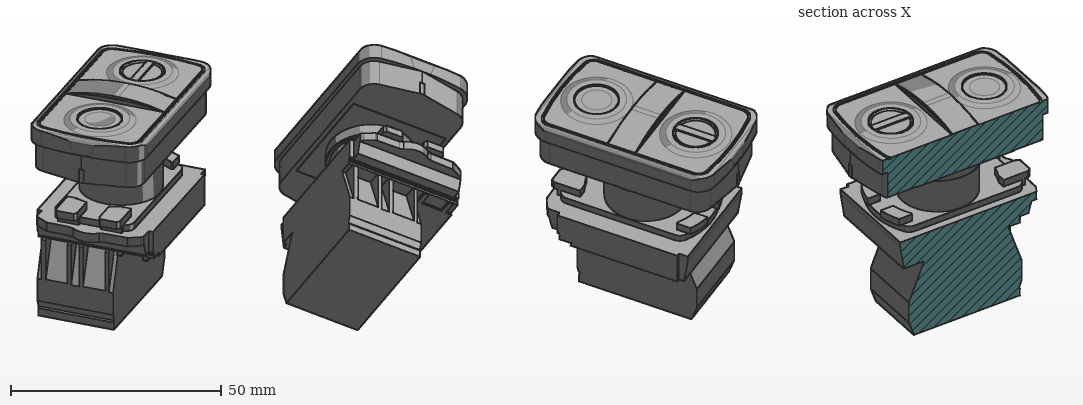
import cadquery as cq
import math


Z_BASE_BOTTOM = 20.4
Z_RIB_TOP = 21.2
Z_GROOVE = 22.2
Z_SKIRT_BOTTOM = 23.0
Z_LIP_BOTTOM = 26.2
Z_BASE_TOP = 28.55
Z_PLATE_TOP = 30.25
Z_TAB_TOP = 32.2
Z_COLLAR_BOTTOM = 39.65
Z_BODY_BOTTOM = 42.87
Z_CAP_BOTTOM = 50.15
Z_CAP_TOP = 54.3
Z_TOP = 56.01

BASE_WIDTH = 29.8
BLOCK_WIDTH = 19.5
FRONT_Y = -16.05
BLOCK_REAR_Y = 16.0
BLOCK_REAR_FOOT_Y = 14.5
BLOCK_REAR_NECK_Y = 11.75
REAR_WALL_Z = (4.25, 10.1)
FOOT_TOP = 1.95
FOOT_NOTCH_Z = 2.4
FRONT_WALL_Z = 4.2
GROOVE_HALF_HEIGHT = 0.25
RECESSED_FRONT_Y = -15.6
GROOVE_Y = -15.35
FLAP_INNER_Y = 16.05
FLAP_HALF_WIDTH = 14.0
FLAP_REAR_Y = 18.45
FLAP_FOOT_Y = 17.4
FLAP_SLOPE_TOP = 27.2
RIB_CHAMFER = 0.45
WEDGE_INNER_Y = -12.3
NARROW_WEDGE_BOTTOM = 10.1
WIDE_WEDGE_BOTTOM = 10.3
WEDGES = [
    (0.0, 0.97, NARROW_WEDGE_BOTTOM),
    (2.2, 5.55, WIDE_WEDGE_BOTTOM),
    (8.75, 2.0, NARROW_WEDGE_BOTTOM),
    (11.8, 5.75, WIDE_WEDGE_BOTTOM),
    (18.43, 2.07, NARROW_WEDGE_BOTTOM),
    (21.65, 5.5, WIDE_WEDGE_BOTTOM),
    (28.3, 1.5, NARROW_WEDGE_BOTTOM),
]

SKIRT_HALF_WIDTH = 13.8
SKIRT_FRONT_Y = -18.9
SKIRT_FOOT_Y = -18.0
LIP_FRONT_Y = -22.75
LIP_LEFT_SIDE = [
    (-SKIRT_HALF_WIDTH, FRONT_Y),
    (-SKIRT_HALF_WIDTH, -19.0),
    (-13.2, -19.6),
    (-10.8, -21.0),
    (-10.4, -21.15),
    (-4.4, -21.3),
    (-3.3, -21.6),
]

PLATE_HALF_WIDTH = 10.15
PLATE_FRONT_Y = -19.5
PLATE_REAR_RADIUS = 17.6
PLATE_SHOULDER_Y = -18.6
PLATE_CORNER_RADIUS = 2.6
TAB_INNER_X = 2.87
TAB_OUTER_X = 8.25
TAB_INNER_RADIUS = 14.7
FRONT_TAB_Y = (-21.2, -13.4)
REAR_TAB_Y = (12.5, 18.0)
REAR_TAB_RADIUS = 18.2
TAB_CHAMFER = (0.55, 0.9)

TUBE_DIAMETER = 20.0
COLLAR_DIAMETER = 21.7
COLLAR_CHAMFER = 0.2
GASKET_SIZE = (25.2, 27.5)
GASKET_THICKNESS = 0.15

HEAD_HALF_LENGTH = 49.43 / 2
CAP_HALF_WIDTH = 14.7
CAP_CORNER_RADIUS = 4.6
CAP_EDGE_RADIUS = 0.95
END_RADIUS = 68.0
END_FACET_FOOT_DEPTH = 0.035
END_FACET_TOP_DEPTH = 0.085
BODY_HALF_WIDTH = 13.8
BODY_SIDE_Y = 22.05
BODY_CORNER_RADIUS = 3.9
KEY_HALF_WIDTH = 0.6
KEY_TOP = 46.4
GROOVE_OUTER = (13.3, 23.05, 2.9)
GROOVE_INNER = (12.7, 22.55, 2.4)
TRIM_GROOVE_DEPTH = 0.3

BAR_HALF_LENGTH = 12.7
BAR_FOOT_HALF_WIDTH = 3.83
BAR_TOP_HALF_WIDTH = 3.65
BAR_SHOULDER_Z = 55.4
BAR_CREST_HALF_WIDTH = 0.75

BUTTON_Y = 13.25
BUTTON_OUTER_RADIUS = 8.6
BUTTON_RIM_RADIUS = 7.1
BUTTON_HEIGHT = 0.45
RING_OUTER_RADIUS = 5.4
RING_INNER_RADIUS = 5.2
RING_DEPTH = 0.4
MARK_WIDTH = 1.95
MARK_DISH_RADIUS = 4.7
MARK_DISH_DEPTH = 0.35
DISH_RADIUS = 3.6
DISH_DEPTH = 0.2
SUNK_FACE_DEPTH = 0.2


def box(x_range, y_range, z_range):
    """Box between the given limits."""
    (x0, x1), (y0, y1), (z0, z1) = x_range, y_range, z_range
    return cq.Workplane("XY").box(x1 - x0, y1 - y0, z1 - z0, centered=False).translate((x0, y0, z0))


def cylinder(radius, bottom, top):
    """Upright cylinder on the collar axis."""
    return cq.Workplane("XY").workplane(offset=bottom).circle(radius).extrude(top - bottom)


def side_profile(points, x_start, x_end):
    """Extrude a (Y, Z) polygon along X."""
    return cq.Workplane("YZ").workplane(offset=x_start).polyline(points).close().extrude(x_end - x_start)


def make_block():
    """Contact block and mounting base share one profile; the base is wider than the block."""
    left = -BASE_WIDTH / 2
    right = BASE_WIDTH / 2
    profile = [
        (RECESSED_FRONT_Y, 0),
        (RECESSED_FRONT_Y, FOOT_TOP),
        (GROOVE_Y, FOOT_NOTCH_Z),
        (FRONT_Y, FRONT_WALL_Z),
        (FRONT_Y, Z_RIB_TOP - RIB_CHAMFER),
        (FRONT_Y + RIB_CHAMFER, Z_RIB_TOP),
        (RECESSED_FRONT_Y, Z_GROOVE - GROOVE_HALF_HEIGHT),
        (GROOVE_Y, Z_GROOVE),
        (RECESSED_FRONT_Y, Z_GROOVE + GROOVE_HALF_HEIGHT),
        (RECESSED_FRONT_Y, Z_SKIRT_BOTTOM),
        (FRONT_Y, Z_SKIRT_BOTTOM),
        (FRONT_Y, Z_BASE_TOP),
        (FLAP_INNER_Y, Z_BASE_TOP),
        (FLAP_INNER_Y, Z_BASE_BOTTOM),
        (BLOCK_REAR_NECK_Y, Z_BASE_BOTTOM),
        (BLOCK_REAR_Y, REAR_WALL_Z[1]),
        (BLOCK_REAR_Y, REAR_WALL_Z[0]),
        (BLOCK_REAR_FOOT_Y, 0),
    ]
    block = side_profile(profile, left, right)
    beside_block = box((left + BLOCK_WIDTH, right), (FRONT_Y, BLOCK_REAR_Y), (0, Z_BASE_BOTTOM))
    block = block.cut(beside_block)
    flap = [
        (FLAP_INNER_Y, Z_BASE_BOTTOM),
        (FLAP_FOOT_Y, Z_BASE_BOTTOM),
        (FLAP_REAR_Y, FLAP_SLOPE_TOP),
        (FLAP_REAR_Y, Z_BASE_TOP),
        (FLAP_INNER_Y, Z_BASE_TOP),
    ]
    block = block.union(side_profile(flap, -FLAP_HALF_WIDTH, FLAP_HALF_WIDTH))
    for start, width, lowest in WEDGES:
        wedge = [(FRONT_Y, lowest), (FRONT_Y, Z_RIB_TOP), (WEDGE_INNER_Y, Z_RIB_TOP)]
        block = block.cut(side_profile(wedge, left + start, left + start + width))
    return block


def make_front_lip():
    """Skirt with a sloping foot, under a lip with a rounded nose."""
    skirt = [
        (FRONT_Y, Z_SKIRT_BOTTOM),
        (SKIRT_FOOT_Y, Z_SKIRT_BOTTOM),
        (SKIRT_FRONT_Y, Z_LIP_BOTTOM),
        (FRONT_Y, Z_LIP_BOTTOM),
    ]
    right_side = [(-x, y) for x, y in reversed(LIP_LEFT_SIDE)]
    lip = (
        cq.Workplane("XY")
        .workplane(offset=Z_LIP_BOTTOM)
        .polyline(LIP_LEFT_SIDE)
        .threePointArc((0, LIP_FRONT_Y), right_side[0])
        .polyline(right_side[1:], includeCurrent=True)
        .close()
        .extrude(Z_BASE_TOP - Z_LIP_BOTTOM)
    )
    return lip.union(side_profile(skirt, -SKIRT_HALF_WIDTH, SKIRT_HALF_WIDTH))


def make_plate():
    """Raised plate with a round rear end and two pads that carry the front tabs."""
    rear_y = math.sqrt(PLATE_REAR_RADIUS**2 - PLATE_HALF_WIDTH**2)
    plate = (
        cq.Workplane("XY")
        .workplane(offset=Z_BASE_TOP)
        .moveTo(-PLATE_HALF_WIDTH, PLATE_SHOULDER_Y)
        .lineTo(PLATE_HALF_WIDTH, PLATE_SHOULDER_Y)
        .lineTo(PLATE_HALF_WIDTH, rear_y)
        .threePointArc((0, PLATE_REAR_RADIUS), (-PLATE_HALF_WIDTH, rear_y))
        .close()
        .extrude(Z_PLATE_TOP - Z_BASE_TOP)
        .edges("|Z")
        .fillet(PLATE_CORNER_RADIUS)
    )
    pad = box((TAB_INNER_X, TAB_OUTER_X), (PLATE_FRONT_Y, FRONT_Y), (Z_BASE_TOP, Z_PLATE_TOP))
    return plate.union(pad).union(pad.mirror("YZ"))


def make_tabs():
    """Four tabs on the plate, their inner ends hollowed around the collar."""
    levels = (Z_PLATE_TOP, Z_TAB_TOP)
    span = (TAB_INNER_X, TAB_OUTER_X)
    front_y, back_y = FRONT_TAB_Y
    chamfer_x, chamfer_y = TAB_CHAMFER
    front = (
        cq.Workplane("XY")
        .workplane(offset=Z_PLATE_TOP)
        .moveTo(TAB_INNER_X, back_y)
        .lineTo(TAB_INNER_X, front_y + chamfer_y)
        .lineTo(TAB_INNER_X + chamfer_x, front_y)
        .lineTo(TAB_OUTER_X - chamfer_x, front_y)
        .lineTo(TAB_OUTER_X, front_y + chamfer_y)
        .lineTo(TAB_OUTER_X, back_y)
        .close()
        .extrude(Z_TAB_TOP - Z_PLATE_TOP)
    )
    rear = box(span, REAR_TAB_Y, levels).intersect(cylinder(REAR_TAB_RADIUS, *levels))
    pair = front.union(rear).cut(cylinder(TAB_INNER_RADIUS, *levels))
    return pair.union(pair.mirror("YZ"))


def make_collar():
    """Round neck between the plate and the head."""
    tube = cylinder(TUBE_DIAMETER / 2, Z_PLATE_TOP, Z_BODY_BOTTOM)
    ring = cylinder(COLLAR_DIAMETER / 2, Z_COLLAR_BOTTOM, Z_BODY_BOTTOM).faces("<Z").chamfer(COLLAR_CHAMFER)
    half_x, half_y = GASKET_SIZE[0] / 2, GASKET_SIZE[1] / 2
    gasket = box((-half_x, half_x), (-half_y, half_y), (Z_BODY_BOTTOM - GASKET_THICKNESS, Z_BODY_BOTTOM))
    return tube.union(ring).union(gasket)


def bowed_slab(half_width, half_length, corner_radius, bottom, top):
    """Rounded rectangle with bowed ends, extruded between two levels."""
    corner_y = half_length - (END_RADIUS - math.sqrt(END_RADIUS**2 - half_width**2))
    return (
        cq.Workplane("XY")
        .workplane(offset=bottom)
        .moveTo(half_width, -corner_y)
        .lineTo(half_width, corner_y)
        .threePointArc((0, half_length), (-half_width, corner_y))
        .lineTo(-half_width, -corner_y)
        .threePointArc((0, -half_length), (half_width, -corner_y))
        .close()
        .extrude(top - bottom)
        .edges("|Z")
        .fillet(corner_radius)
    )


def make_cap():
    """Cap with rounded top edges, a flat drafted facet on each bowed end and a trim groove on top."""
    cap = bowed_slab(CAP_HALF_WIDTH, HEAD_HALF_LENGTH, CAP_CORNER_RADIUS, Z_CAP_BOTTOM, Z_CAP_TOP)
    levels = (Z_CAP_BOTTOM, Z_CAP_TOP)
    across = box((-CAP_HALF_WIDTH, CAP_HALF_WIDTH), (-HEAD_HALF_LENGTH, HEAD_HALF_LENGTH), levels)
    cap = cap.intersect(across.edges(">Z and |Y").fillet(CAP_EDGE_RADIUS))
    foot_y = HEAD_HALF_LENGTH - END_FACET_FOOT_DEPTH
    top_y = HEAD_HALF_LENGTH - END_FACET_TOP_DEPTH
    end_profile = [(-foot_y, Z_CAP_BOTTOM), (foot_y, Z_CAP_BOTTOM), (top_y, Z_CAP_TOP), (-top_y, Z_CAP_TOP)]
    along = side_profile(end_profile, -CAP_HALF_WIDTH, CAP_HALF_WIDTH)
    cap = cap.intersect(along.edges(">Z and |X").fillet(CAP_EDGE_RADIUS))
    groove_bottom = Z_CAP_TOP - TRIM_GROOVE_DEPTH
    groove = bowed_slab(*GROOVE_OUTER, groove_bottom, Z_CAP_TOP)
    groove = groove.cut(bowed_slab(*GROOVE_INNER, groove_bottom, Z_CAP_TOP))
    return cap.cut(groove)


def make_body():
    """Lower part of the head, with ends that rise to a ridge; a short key stands on each ridge."""
    body = (
        cq.Workplane("XY")
        .workplane(offset=Z_BODY_BOTTOM)
        .moveTo(BODY_HALF_WIDTH, -BODY_SIDE_Y)
        .lineTo(BODY_HALF_WIDTH, BODY_SIDE_Y)
        .lineTo(0, HEAD_HALF_LENGTH)
        .lineTo(-BODY_HALF_WIDTH, BODY_SIDE_Y)
        .lineTo(-BODY_HALF_WIDTH, -BODY_SIDE_Y)
        .lineTo(0, -HEAD_HALF_LENGTH)
        .close()
        .extrude(Z_CAP_BOTTOM - Z_BODY_BOTTOM)
        .edges("|Z and (>X or <X)")
        .fillet(BODY_CORNER_RADIUS)
    )
    slope = (HEAD_HALF_LENGTH - BODY_SIDE_Y) / BODY_HALF_WIDTH
    key_root_y = HEAD_HALF_LENGTH - slope * KEY_HALF_WIDTH
    key = box(
        (-KEY_HALF_WIDTH, KEY_HALF_WIDTH),
        (key_root_y, HEAD_HALF_LENGTH),
        (Z_BODY_BOTTOM, KEY_TOP),
    )
    return body.union(key).union(key.mirror("XZ"))


def arch(crest_z, half_depth):
    """Arched slab across the cap, with a narrow flat crest."""
    rise = crest_z - Z_CAP_TOP
    run = BAR_HALF_LENGTH - BAR_CREST_HALF_WIDTH
    radius = (run**2 + rise**2) / (2 * rise)
    middle = run / 2
    middle_z = crest_z - (radius - math.sqrt(radius**2 - middle**2))
    middle_x = BAR_CREST_HALF_WIDTH + middle
    return (
        cq.Workplane("XZ")
        .moveTo(-BAR_HALF_LENGTH, Z_CAP_TOP)
        .threePointArc((-middle_x, middle_z), (-BAR_CREST_HALF_WIDTH, crest_z))
        .lineTo(BAR_CREST_HALF_WIDTH, crest_z)
        .threePointArc((middle_x, middle_z), (BAR_HALF_LENGTH, Z_CAP_TOP))
        .close()
        .extrude(half_depth, both=True)
    )


def make_bar():
    """Bar between the buttons: an arch on a slightly wider, lower arch."""
    return arch(Z_TOP, BAR_TOP_HALF_WIDTH).union(arch(BAR_SHOULDER_Z, BAR_FOOT_HALF_WIDTH))


def make_button(inner_recess):
    """Raised round button with a sloping rim, a ring groove and a recessed middle."""
    top = Z_CAP_TOP + BUTTON_HEIGHT
    rim = (
        cq.Workplane("XZ")
        .moveTo(0, Z_CAP_TOP)
        .lineTo(BUTTON_OUTER_RADIUS, Z_CAP_TOP)
        .lineTo(BUTTON_RIM_RADIUS, top)
        .lineTo(0, top)
        .close()
        .revolve(360, (0, 0, 0), (0, 1, 0))
    )
    ring = cylinder(RING_OUTER_RADIUS, top - RING_DEPTH, top)
    ring = ring.cut(cylinder(RING_INNER_RADIUS, top - RING_DEPTH, top))
    return rim.cut(ring).cut(inner_recess)


def make_mark_button():
    """Button with a straight raised mark across a shallow recess."""
    top = Z_CAP_TOP + BUTTON_HEIGHT
    bottom = top - MARK_DISH_DEPTH
    recess = cq.Workplane("XY").workplane(offset=bottom).circle(MARK_DISH_RADIUS)
    recess = recess.workplane(offset=MARK_DISH_DEPTH).circle(RING_INNER_RADIUS).loft()
    half = MARK_WIDTH / 2
    mark = box((-half, half), (-RING_INNER_RADIUS, RING_INNER_RADIUS), (bottom, top))
    return make_button(recess.cut(mark)).translate((0, BUTTON_Y, 0))


def make_dish_button():
    """Button with a sunk face and a shallow spherical dish."""
    top = Z_CAP_TOP + BUTTON_HEIGHT
    face = top - SUNK_FACE_DEPTH
    sphere_radius = (DISH_RADIUS**2 + DISH_DEPTH**2) / (2 * DISH_DEPTH)
    dish = cq.Workplane("XY").sphere(sphere_radius).translate((0, 0, face - DISH_DEPTH + sphere_radius))
    dish = dish.intersect(cylinder(DISH_RADIUS, face - DISH_DEPTH, face))
    recess = cylinder(RING_INNER_RADIUS, face, top).union(dish)
    return make_button(recess).translate((0, -BUTTON_Y, 0))


result = make_block()
for piece in (
    make_front_lip(),
    make_plate(),
    make_tabs(),
    make_collar(),
    make_body(),
    make_cap(),
    make_bar(),
    make_mark_button(),
    make_dish_button(),
):
    result = result.union(piece)